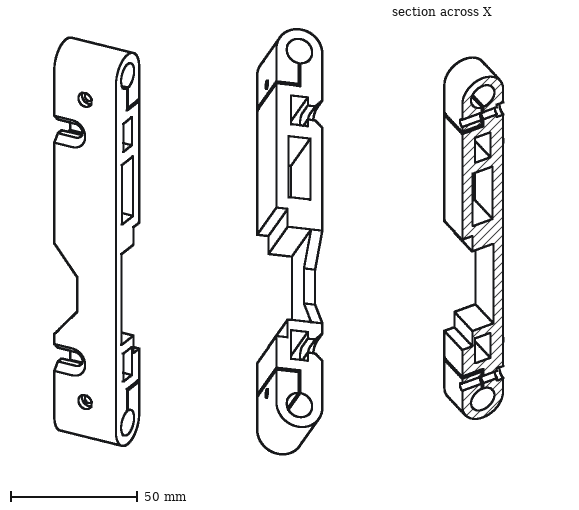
import cadquery as cq

width = 28.0
thickness = 19.0
length = 172.0
half_width = width / 2
half_thickness = thickness / 2
front_y = -half_thickness
overcut = 1.7

bore_diameter = 10.5
bore_z = length / 2 - half_thickness
slit_width = 0.7
cross_slit_height = 0.9
cross_slit_z = 62.0
screw_z = 66.7
screw_hole_diameter = 3.5
screw_head_diameter = 6.0
screw_head_depth = 3.0

channel_z = 50.7
channel_height = 12.4
channel_depth = 6.9
slot_z = 50.4
slot_diameter = 6.0
slot_end_x = -5.8
flare_depth = 3.0

window_bottom = 12.9
window_top = 39.2
window_depth = 9.0

recess_top = 0.0
recess_bottom = -40.0
recess_center = (recess_top + recess_bottom) / 2
recess_height = recess_top - recess_bottom
step_extra_height = 7.7
step_y = 4.8
plate_back_y = -4.8
notch_floor_x = -3.6
notch_floor_height = 15.1


def box_between(x_range, y_range, z_range):
    """Axis-aligned box spanning the given ranges."""
    ranges = (x_range, y_range, z_range)
    sizes = [high - low for low, high in ranges]
    corner = cq.Vector(*[low for low, high in ranges])
    return cq.Workplane(obj=cq.Solid.makeBox(*sizes, corner))


def across_bar(y_range, z_range):
    """Box passing through the whole width of the bar."""
    return box_between((-half_width - overcut, half_width + overcut), y_range, z_range)


def centered(middle, size):
    """Range of the given size about a middle value."""
    return middle - size / 2, middle + size / 2


def y_cylinder(diameter, z, start_y, end_y):
    """Cylinder along Y on the bar's center plane."""
    solid = cq.Solid.makeCylinder(
        diameter / 2, end_y - start_y, cq.Vector(0, start_y, z), cq.Vector(0, 1, 0)
    )
    return cq.Workplane(obj=solid)


def clamp_cut(side):
    """Rod bore, slit and stepped screw hole at the top (side = 1) or bottom (side = -1)."""
    bore = (
        cq.Workplane("YZ")
        .center(0, side * bore_z)
        .circle(bore_diameter / 2)
        .extrude(half_width + overcut, both=True)
    )
    slit_ends = sorted((side * bore_z, side * cross_slit_z))
    slit = across_bar(centered(0, slit_width), slit_ends)
    cross_slit = across_bar(
        (-slit_width / 2, half_thickness + overcut),
        centered(side * cross_slit_z, cross_slit_height),
    )
    z = side * screw_z
    head = y_cylinder(screw_head_diameter, z, front_y - overcut, front_y + screw_head_depth)
    screw_hole = y_cylinder(screw_hole_diameter, z, front_y, half_thickness + overcut)
    return bore.union(slit).union(cross_slit).union(head).union(screw_hole)


def fastener_cut(side):
    """Nut channel across the bar with the flared screw slot opening on the front and -X faces."""
    channel = across_bar(
        centered(0, channel_depth), centered(side * channel_z, channel_height)
    )
    z = side * slot_z
    neck_radius = slot_diameter / 2
    mouth_radius = neck_radius + flare_depth
    flare_y = front_y + flare_depth
    outer_x = -half_width - overcut

    neck = y_cylinder(slot_diameter, z, front_y, 0).translate((slot_end_x, 0, 0))
    neck_straight = box_between((outer_x, slot_end_x), (front_y, 0), centered(z, slot_diameter))

    flare_end = cq.Workplane(
        obj=cq.Solid.makeCone(
            mouth_radius, neck_radius, flare_depth,
            cq.Vector(slot_end_x, front_y, z), cq.Vector(0, 1, 0),
        )
    )
    flare_straight = (
        cq.Workplane("YZ", origin=(outer_x, 0, 0))
        .polyline([
            (front_y, z - mouth_radius),
            (flare_y, z - neck_radius),
            (flare_y, z + neck_radius),
            (front_y, z + mouth_radius),
        ])
        .close()
        .extrude(slot_end_x - outer_x)
    )
    return channel.union(neck).union(neck_straight).union(flare_end).union(flare_straight)


def recess_cut():
    """Stepped recess in the back face and the trapezoidal notch in the -X edge."""
    back_y = half_thickness + overcut
    step = across_bar(
        (step_y, back_y), centered(recess_center, recess_height + 2 * step_extra_height)
    )
    deep = across_bar((plate_back_y, back_y), (recess_bottom, recess_top))
    floor_bottom, floor_top = centered(recess_center, notch_floor_height)
    notch = (
        cq.Workplane("XZ")
        .polyline([
            (-half_width, recess_bottom),
            (notch_floor_x, floor_bottom),
            (notch_floor_x, floor_top),
            (-half_width, recess_top),
        ])
        .close()
        .extrude(half_thickness + overcut)
    )
    return step.union(deep).union(notch)


body = (
    cq.Workplane("YZ")
    .slot2D(length, thickness, angle=90)
    .extrude(half_width, both=True)
)
window = across_bar(centered(0, window_depth), (window_bottom, window_top))
result = body.cut(window).cut(recess_cut())
for end_side in (1, -1):
    result = result.cut(clamp_cut(end_side)).cut(fastener_cut(end_side))